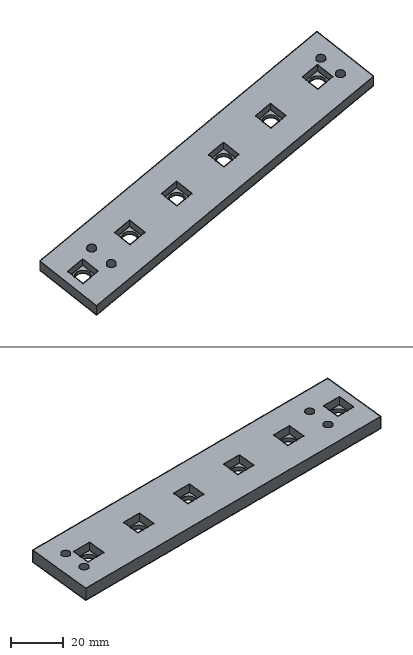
import cadquery as cq

width = 30.0
length = 150.0
thickness = 6.0

pocket_count = 6
first_pocket_y = -67.0
last_pocket_y = 60.0
pocket_pitch = (last_pocket_y - first_pocket_y) / (pocket_count - 1)
pocket_side = 8.1
pocket_depth = 4.0
pocket_hole_diameter = 6.8

mount_hole_diameter = 3.8
mount_hole_spacing = 10.4
mount_pair_ys = (-57.0, 67.0)

pocket_centres = [(0, first_pocket_y + i * pocket_pitch) for i in range(pocket_count)]
mount_centres = [
    (side * mount_hole_spacing / 2, y)
    for y in mount_pair_ys
    for side in (-1, 1)
]


def on_top_face(plate, centres):
    """Place points on the top face of the plate."""
    return plate.faces(">Z").workplane(origin=(0, 0, thickness)).pushPoints(centres)


result = cq.Workplane("XY").box(width, length, thickness, centered=(True, True, False))
result = on_top_face(result, pocket_centres).hole(pocket_hole_diameter)
result = on_top_face(result, pocket_centres).rect(pocket_side, pocket_side).cutBlind(-pocket_depth)
result = on_top_face(result, mount_centres).hole(mount_hole_diameter)